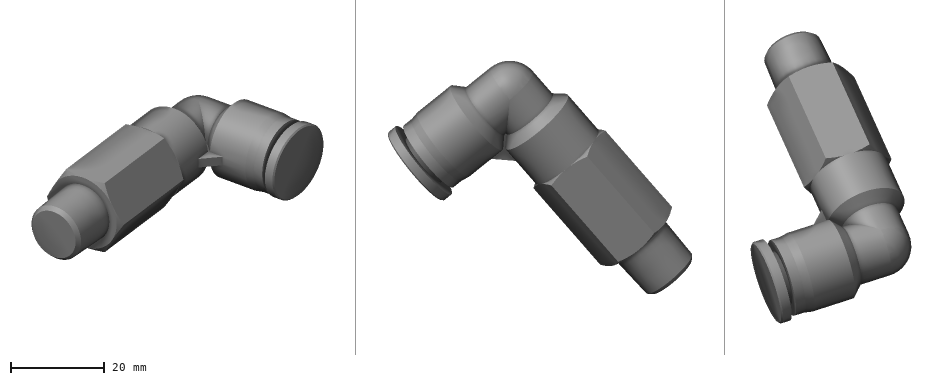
import cadquery as cq
import math


arm_radius = 6.5
socket_radius = 17.6 / 2
shoulder_slope_start = 6.55
shoulder_slope_end = shoulder_slope_start + (socket_radius - arm_radius)
tube_cone_shift = 0.3
stud_socket_end = 19.0
tube_taper_start = 18.4
tube_taper_end = 20.3
tube_socket_end = 22.5
tube_mouth_radius = 16.9 / 2
rib_reach = 12.4
rib_thickness = 2.15

neck_radius = 11.9 / 2
flange_start = 23.9
flange_end = 26.2
flange_length_y = 18.85
flange_length_z = 16.65
flange_edge_chamfer = 0.3

hex_across_flats = 17.3
hex_corner_radius = hex_across_flats / 2 / math.cos(math.pi / 6)
hex_end = 42.7
hex_face_radius = hex_across_flats / 2
hex_chamfer_angle = 30
thread_root_radius = 6.75
thread_end_radius = 6.45
thread_tip_radius = 5.6
overall_length = 63.1
thread_chamfer_length = 0.9
stud_end = overall_length - flange_length_y / 2
thread_chamfer_start = stud_end - thread_chamfer_length


def turned_along_x(profile):
    """Revolve (distance along +X, radius) points about the X axis."""
    start, end = profile[0][0], profile[-1][0]
    outline = [(start, 0), *profile, (end, 0)]
    return cq.Workplane("XY").polyline(outline).close().revolve(360, (0, 0, 0), (1, 0, 0))


def turned_along_minus_y(profile):
    """Revolve (distance along -Y, radius) points about the Y axis."""
    return turned_along_x(profile).rotate((0, 0, 0), (0, 0, 1), -90)


def make_housing():
    """Elbow with a ball corner, two shouldered sockets and a rib in the inner corner."""
    corner = cq.Workplane("XY").sphere(arm_radius)
    stud_arm = turned_along_minus_y([
        (0, arm_radius),
        (shoulder_slope_start, arm_radius),
        (shoulder_slope_end, socket_radius),
        (stud_socket_end, socket_radius),
    ])
    tube_arm = turned_along_x([
        (0, arm_radius),
        (shoulder_slope_start + tube_cone_shift, arm_radius),
        (shoulder_slope_end + tube_cone_shift, socket_radius),
        (tube_taper_start, socket_radius),
        (tube_taper_end, tube_mouth_radius),
        (tube_socket_end, tube_mouth_radius),
    ])
    rib = (
        cq.Workplane("XY")
        .polyline([
            (arm_radius, -arm_radius),
            (rib_reach, -arm_radius),
            (rib_reach, -socket_radius),
            (socket_radius, -rib_reach),
            (arm_radius, -rib_reach),
        ])
        .close()
        .extrude(rib_thickness / 2, both=True)
    )
    return corner.union(stud_arm).union(tube_arm).union(rib)


def make_release_sleeve():
    """Round neck carrying an oval push flange."""
    neck = turned_along_x([(tube_socket_end, neck_radius), (flange_start, neck_radius)])
    flange = (
        cq.Workplane("YZ", origin=(flange_start, 0, 0))
        .ellipse(flange_length_y / 2, flange_length_z / 2)
        .extrude(flange_end - flange_start)
        .faces(">X")
        .chamfer(flange_edge_chamfer)
    )
    return neck.union(flange)


def make_stud():
    """Long hexagon with chamfered corners and a tapered plain thread."""
    hexagon = (
        cq.Workplane("XZ", origin=(0, -stud_socket_end, 0))
        .polygon(6, 2 * hex_corner_radius)
        .extrude(hex_end - stud_socket_end)
    )
    corner_chamfer_depth = (hex_corner_radius - hex_face_radius) * math.tan(math.radians(hex_chamfer_angle))
    corner_envelope = turned_along_minus_y([
        (stud_socket_end, hex_face_radius),
        (stud_socket_end + corner_chamfer_depth, hex_corner_radius),
        (hex_end - corner_chamfer_depth, hex_corner_radius),
        (hex_end, hex_face_radius),
    ])
    thread = turned_along_minus_y([
        (hex_end, thread_root_radius),
        (thread_chamfer_start, thread_end_radius),
        (stud_end, thread_tip_radius),
    ])
    return hexagon.intersect(corner_envelope).union(thread)


housing = make_housing()
release_sleeve = make_release_sleeve()
stud = make_stud()

result = cq.Compound.makeCompound([housing.val(), release_sleeve.val(), stud.val()])